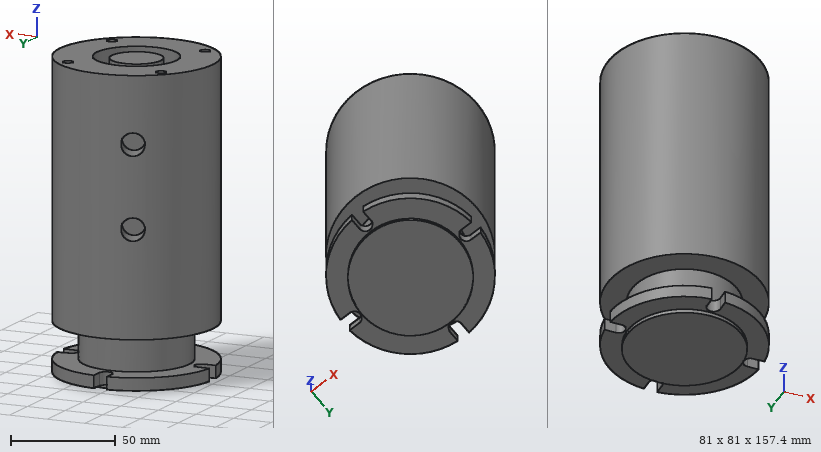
import cadquery as cq
import math

total_height = 157.4
body_diameter = 81.0
flange_diameter = body_diameter
neck_diameter = 55.9
spigot_diameter = 60.1
spigot_top = 2.0
flange_top = 8.5
neck_top = 27.2

recess_diameter = 42.0
recess_depth = 14.0
rod_diameter = 26.0
rod_top_setback = 0.8

top_hole_diameter = 5.0
top_hole_circle_diameter = 69.9
top_hole_depth = 15.0
drill_point_angle = 118.0

port_diameter = 11.5
port_heights = (81.5, 123.4)
port_depth = 12.6
port_direction = 113.0

slot_width = 7.0
slot_end_radius = 34.5

quarter_turns = range(0, 360, 90)


def disc(diameter, bottom, top):
    """Cylinder on the part axis between two heights."""
    return cq.Workplane("XY").workplane(offset=bottom).circle(diameter / 2).extrude(top - bottom)


def annular_recess():
    """Ring-shaped pocket around the rod, with the rod end set slightly below the top face."""
    floor = total_height - recess_depth
    rod_top = total_height - rod_top_setback
    return disc(recess_diameter, floor, total_height).cut(disc(rod_diameter, floor, rod_top))


def top_hole():
    """Drilled hole with a conical bottom, placed on the hole circle along +X."""
    radius = top_hole_diameter / 2
    point_depth = radius / math.tan(math.radians(drill_point_angle / 2))
    profile = [(0, 0), (radius, 0), (radius, -top_hole_depth), (0, -top_hole_depth - point_depth)]
    hole = cq.Workplane("XZ").polyline(profile).close().revolve(360, (0, 0), (0, 1))
    return hole.translate((top_hole_circle_diameter / 2, 0, total_height))


def port(height):
    """Blind radial hole entering the body side at the given height."""
    floor_radius = body_diameter / 2 - port_depth
    hole = (
        cq.Workplane("YZ")
        .workplane(offset=floor_radius)
        .center(0, height)
        .circle(port_diameter / 2)
        .extrude(body_diameter / 2)
    )
    return hole.rotate((0, 0, 0), (0, 0, 1), port_direction)


def flange_slot():
    """Slot along +X with a rounded inner end, open at the flange rim."""
    thickness = flange_top - spigot_top
    half_width = slot_width / 2
    return (
        cq.Workplane("XY")
        .workplane(offset=spigot_top)
        .moveTo(flange_diameter, half_width)
        .lineTo(slot_end_radius, half_width)
        .threePointArc((slot_end_radius - half_width, 0), (slot_end_radius, -half_width))
        .lineTo(flange_diameter, -half_width)
        .close()
        .extrude(thickness)
    )


result = (
    disc(spigot_diameter, 0, spigot_top)
    .union(disc(flange_diameter, spigot_top, flange_top))
    .union(disc(neck_diameter, flange_top, neck_top))
    .union(disc(body_diameter, neck_top, total_height))
    .cut(annular_recess())
)

for angle in quarter_turns:
    result = result.cut(top_hole().rotate((0, 0, 0), (0, 0, 1), angle + 45))
    result = result.cut(flange_slot().rotate((0, 0, 0), (0, 0, 1), angle))

for height in port_heights:
    result = result.cut(port(height))